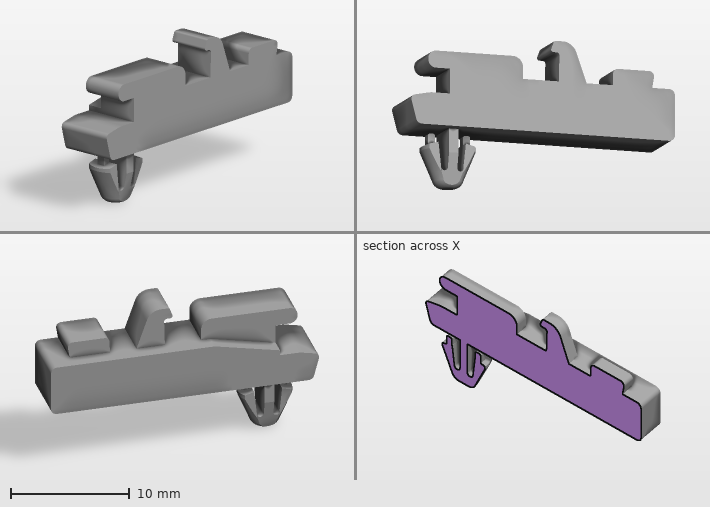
import cadquery as cq


width = 5.1
length = 23.45
rail_height = 4.45
rail_corner_radius = 0.52
nose_radius = 0.4
nose_tip = (-0.1, 2.4)
nose_bottom_y = 0.55
ledge_start_y = 1.7
ledge_z = 2.77
ledge_blend_radius = 2.81
step_y = 3.42
ramp_low_z = 3.24
ramp_top_y = 9.12

raised_x = 1.38
root_z = ledge_z

peg_x = 2.404
peg_y = 4.13
peg_bottom_z = -4.85
stem_width = 3.25
stem_thickness = 0.85
taper_start_z = -2.06
peg_bottom_width = 1.88
clip_width = 2.45
clip_radius = 2.357
clip_band_z = -1.74
cone_end_radius = 1.31
cone_end_z = -4.25
tip_radius = 0.59
tip_mid = (1.03, -4.67)
arm_inner_y = 1.22
arm_inner_z = -1.13
arm_outer_z = -1.43
arm_root_y = 0.98
slot_end_z = -3.28
tab_width = 0.77
tab_inner_y = 1.25
tab_outer_y = 1.88
tab_top_z = -0.28
tab_root_z = -1.6
tab_round = 0.2


def side_plate(points, x_start, x_end):
    """Extrude a closed (Y, Z) polygon along X."""
    return cq.Workplane("YZ", origin=(x_start, 0, 0)).polyline(points).close().extrude(x_end - x_start)


def round_corner(body, y, z, radius):
    """Round the X-direction edge nearest the given (Y, Z) corner."""
    x_middle = body.val().BoundingBox().center.x
    return body.edges("|X").edges(cq.NearestToPointSelector((x_middle, y, z))).fillet(radius)


def make_rail():
    rail = side_plate(
        [
            (nose_bottom_y, 0),
            nose_tip,
            (ledge_start_y, ledge_z),
            (step_y, ledge_z),
            (step_y, ramp_low_z),
            (ramp_top_y, rail_height),
            (length, rail_height),
            (length, 0),
        ],
        0,
        width,
    )
    rail = round_corner(rail, *nose_tip, nose_radius)
    rail = round_corner(rail, ledge_start_y, ledge_z, ledge_blend_radius)
    rail = round_corner(rail, nose_bottom_y, 0, rail_corner_radius)
    for z in (0, rail_height):
        rail = round_corner(rail, length, z, rail_corner_radius)
    return rail


def make_rear_block():
    top_z = 5.89
    front_y = 17.92
    front_top_y = 17.96
    back_y = 21.43
    back_top_y = 21.67
    block = side_plate(
        [
            (front_y, root_z),
            (front_y, rail_height),
            (front_top_y, top_z),
            (back_top_y, top_z),
            (back_y, rail_height),
            (back_y, root_z),
        ],
        raised_x,
        width,
    )
    block = round_corner(block, front_top_y, top_z, 0.42)
    return round_corner(block, back_top_y, top_z, 0.42)


def make_hook():
    top_z = 7.93
    lip_z = 6.95
    neck_y = 13.18
    neck_base_y = 13.1
    nose_top_y = 12.7
    nose_low_y = 12.33
    hook = (
        cq.Workplane("YZ", origin=(raised_x, 0, 0))
        .moveTo(neck_base_y, root_z)
        .lineTo(neck_base_y, rail_height)
        .lineTo(neck_y, lip_z)
        .lineTo(nose_low_y, lip_z)
        .lineTo(nose_top_y, top_z)
        .lineTo(13.55, top_z)
        .threePointArc((14.25, 7.65), (14.7, 6.99))
        .lineTo(15.6, rail_height)
        .lineTo(15.6, root_z)
        .close()
        .extrude(width - raised_x)
    )
    hook = round_corner(hook, neck_y, lip_z, 0.25)
    hook = round_corner(hook, nose_low_y, lip_z, 0.2)
    return round_corner(hook, nose_top_y, top_z, 0.19)


def make_front_block():
    top_z = 6.38
    overhang_z = 4.9
    back_y = 9.95
    tip_y = 1.5
    block = side_plate(
        [
            (step_y, root_z),
            (step_y, overhang_z),
            (tip_y, overhang_z),
            (tip_y, top_z),
            (back_y, top_z),
            (back_y, root_z),
        ],
        raised_x,
        width,
    )
    block = round_corner(block, back_y, top_z, 0.94)
    for z in (overhang_z, top_z):
        block = round_corner(block, tip_y, z, 0.7)
    return block


def make_stem_wedge(thickness):
    """Tapered peg outline, centred on the peg axis and extruded along Y."""
    half_top = stem_width / 2
    half_bottom = peg_bottom_width / 2
    return (
        cq.Workplane("XZ")
        .polyline(
            [
                (-half_top, 0),
                (half_top, 0),
                (half_top, taper_start_z),
                (half_bottom, peg_bottom_z),
                (-half_bottom, peg_bottom_z),
                (-half_top, taper_start_z),
            ]
        )
        .close()
        .extrude(thickness / 2, both=True)
    )


def make_clip():
    """Conical nose and its two arms, separated from the stem by slots."""
    cone = (
        cq.Workplane("XZ")
        .lineTo(clip_radius, 0)
        .lineTo(clip_radius, clip_band_z)
        .lineTo(cone_end_radius, cone_end_z)
        .threePointArc(tip_mid, (tip_radius, peg_bottom_z))
        .lineTo(0, peg_bottom_z)
        .close()
        .revolve(360, (0, 0, 0), (0, 1, 0))
    )
    stem_half = stem_thickness / 2
    slot_middle = (stem_half + arm_root_y) / 2
    slot_radius = (arm_root_y - stem_half) / 2
    arm_side = (
        cq.Workplane("YZ", origin=(-stem_width / 2, 0, 0))
        .moveTo(0, peg_bottom_z)
        .lineTo(clip_radius, peg_bottom_z)
        .lineTo(clip_radius, arm_outer_z)
        .lineTo(arm_inner_y, arm_inner_z)
        .lineTo(arm_root_y, slot_end_z)
        .threePointArc((slot_middle, slot_end_z - slot_radius), (stem_half, slot_end_z))
        .lineTo(0, slot_end_z)
        .close()
        .extrude(stem_width)
    )
    arms = arm_side.union(arm_side.mirror("XZ"))
    arm_limit = cq.Workplane("XY").box(clip_width, 2 * clip_radius, -2 * peg_bottom_z)
    nose_limit = cq.Workplane("XY").box(stem_width, 2 * arm_root_y, -2 * peg_bottom_z)
    limit = make_stem_wedge(2 * clip_radius).intersect(arm_limit.union(nose_limit))
    return cone.intersect(arms).intersect(limit)


def make_tab():
    """Rounded finger standing on the +Y arm."""
    tab = side_plate(
        [
            (tab_inner_y, tab_root_z),
            (tab_outer_y, tab_root_z),
            (tab_outer_y, tab_top_z),
            (tab_inner_y, tab_top_z),
        ],
        -tab_width / 2,
        tab_width / 2,
    )
    return tab.edges("|X and >Z").fillet(tab_round)


def make_peg():
    stem_limit = cq.Workplane("XY").box(stem_width, stem_thickness, -2 * slot_end_z)
    stem = make_stem_wedge(stem_thickness).intersect(stem_limit)
    tab = make_tab()
    peg = stem.union(make_clip()).union(tab).union(tab.mirror("XZ"))
    return peg.clean().translate((peg_x, peg_y, 0))


result = make_rail()
for feature in (make_rear_block(), make_hook(), make_front_block(), make_peg()):
    result = result.union(feature)